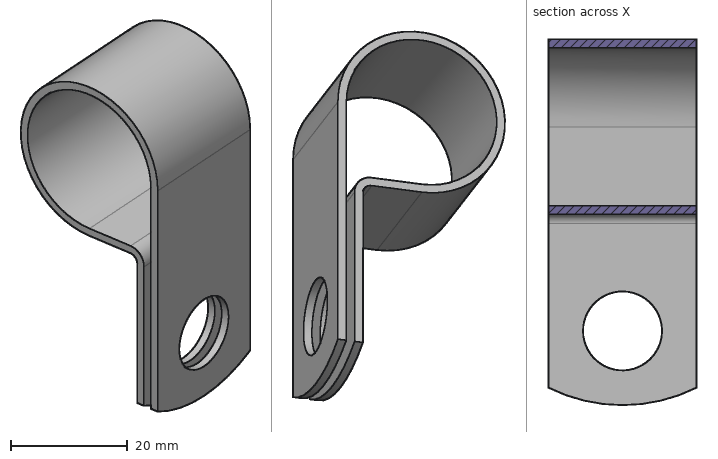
import cadquery as cq

height = 62.65
loop_diameter = 30.0
strap_width = 25.4
thickness = 1.5
leg_gap = 1.5
bend_inner_radius = 1.5
hole_diameter = 13.45
hole_height = 12.7
end_drop = 3.0

outer_radius = loop_diameter / 2
inner_radius = outer_radius - thickness
loop_z = height - outer_radius
shelf_bottom = loop_z - outer_radius
shelf_top = shelf_bottom + thickness
short_leg_right = inner_radius - leg_gap
short_leg_left = short_leg_right - thickness
bend_outer_radius = bend_inner_radius + thickness
bend_x = short_leg_right - bend_outer_radius
bend_z = shelf_top - bend_outer_radius
half_width = strap_width / 2


def make_strap():
    """Loop, long leg, shelf and short leg as one bent strip."""
    return (
        cq.Workplane("XZ")
        .moveTo(outer_radius, 0)
        .lineTo(outer_radius, loop_z)
        .threePointArc((0, height), (-outer_radius, loop_z))
        .radiusArc((0, shelf_bottom), -outer_radius)
        .lineTo(bend_x, shelf_bottom)
        .radiusArc((short_leg_left, bend_z), bend_inner_radius)
        .lineTo(short_leg_left, 0)
        .lineTo(short_leg_right, 0)
        .lineTo(short_leg_right, bend_z)
        .radiusArc((bend_x, shelf_top), -bend_outer_radius)
        .lineTo(0, shelf_top)
        .radiusArc((-inner_radius, loop_z), inner_radius)
        .threePointArc((0, loop_z + inner_radius), (inner_radius, loop_z))
        .lineTo(inner_radius, 0)
        .close()
        .extrude(half_width, both=True)
    )


def make_side_outline():
    """Block across X that rounds the leg ends where it meets the strap."""
    return (
        cq.Workplane("YZ")
        .moveTo(-half_width, height)
        .lineTo(-half_width, end_drop)
        .threePointArc((0, 0), (half_width, end_drop))
        .lineTo(half_width, height)
        .close()
        .extrude(outer_radius, both=True)
    )


def make_bolt_hole():
    """Cutter for the hole through both legs."""
    return (
        cq.Workplane("YZ")
        .center(0, hole_height)
        .circle(hole_diameter / 2)
        .extrude(outer_radius)
    )


result = make_strap().intersect(make_side_outline()).cut(make_bolt_hole())